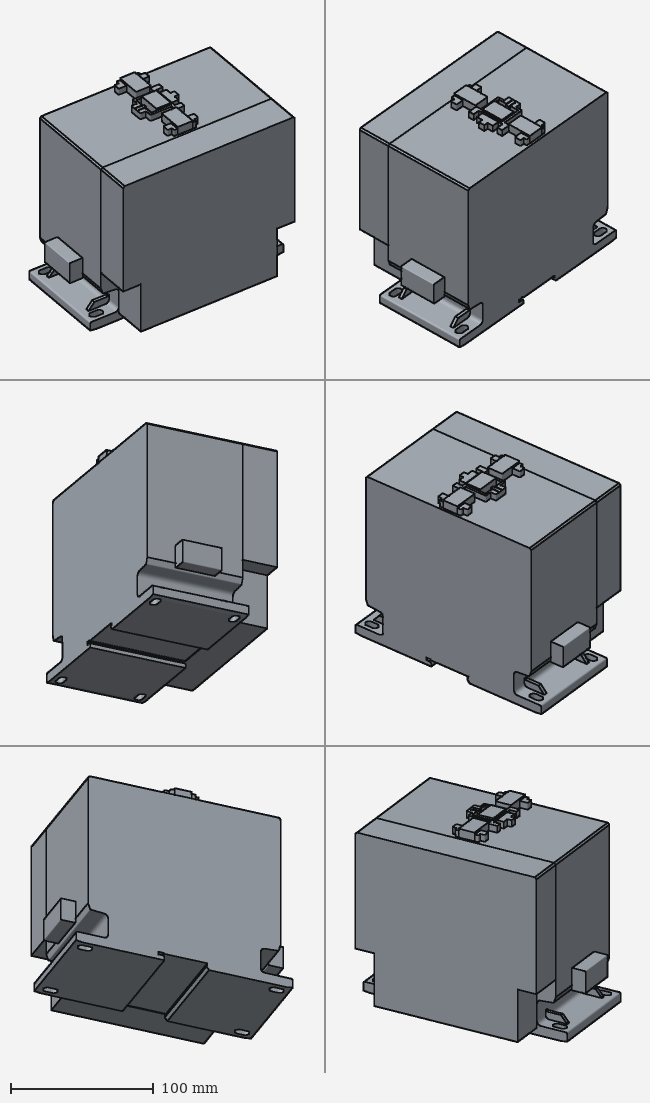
import cadquery as cq

total_width = 102.0
total_depth = 169.2
total_height = 144.0

housing_width = 75.0
body_half_depth = 73.3
body_top = 137.2
waist_half_depth = 58.0
top_chamfer = 1.4
undercut_outer_top = 33.0
undercut_corner_y = 71.5
undercut_corner_z = 28.3
undercut_inner_z = 27.2
undercut_round = 1.0
waist_top_round = 3.4

foot_half_depth = 82.4
foot_thickness = 7.8
foot_inner_round = 3.2
foot_edge_round = 1.4
sole_lift = 0.7
sole_flat_half_depth = 77.5

slot_diameter = 5.8
slot_length = 10.7
slot_outer_end = 78.2
slot_half_spacing = 31.0

rib_thickness = 2.7
rib_half_spacing = 24.2
rib_top = 13.5
rib_crest_y = 70.5
rib_toe_y = 75.6
rib_root_chamfer = 0.8

rail_roof = 5.2
rail_hook_y = 15.2
rail_hook_height = 3.9
rail_hook_round = 1.7
rail_pocket_y = 19.8
rail_pocket_roof = 6.0
rail_pocket_mouth_y = 15.9
rail_lip_y = -16.8
rail_lip_height = 2.5
rail_relief_y = -17.5
rail_mouth_y = -18.8

module_step_height = 46.7
module_bottom = 5.8

terminal_width = 30.6
terminal_bottom = 29.3
terminal_top = 46.7
terminal_edge_round = 0.7

center_x = housing_width / 2
low_top = 142.5
side_raised_half_depth = 6.5
top_corner_round = 0.5

side_block_inner = 15.5
side_block_outer = 35.5
side_tab_inner = 27.2
side_tab_outer = 32.7
side_tab_half_depth = 13.0
side_flange_outer = 35.4
side_flange_half_depth = 9.5

frame_half_width = 11.2
frame_front = -12.7
frame_back = 8.0
center_raised_half_depth = 6.3
recess_half_width = 9.1
recess_front = -10.8
ear_front = 5.4
ear_back = 13.2
latch_tab_half_width = 5.5
latch_tab_front = -17.5
latch_slot_half_width = 1.9
latch_slot_front = -16.0
tongue_half_width = 1.4
tongue_back = -9.5

cap_half_width = 7.5
cap_back = 13.9
cap_tab_half_width = 2.5
cap_tab_back = 17.3


def box_between(x_range, y_range, z_range):
    """Box given by its lower and upper limits along each axis."""
    (x0, x1), (y0, y1), (z0, z1) = x_range, y_range, z_range
    return cq.Workplane("XY").box(x1 - x0, y1 - y0, z1 - z0, centered=False).translate((x0, y0, z0))


def top_box(half_width, y_range, top):
    """Box standing on the housing top, symmetric about the middle of the housing."""
    return box_between((center_x - half_width, center_x + half_width), y_range, (body_top, top))


def extrude_along_x(points, x_start, width):
    """Prism along X with its outline given as (y, z) points."""
    return cq.Workplane("YZ").workplane(offset=x_start).polyline(points).close().extrude(width)


def mirrored_outline(half_points):
    """Outline from its +Y half, listed from bottom to top, closed by the mirrored half."""
    return half_points + [(-y, z) for y, z in reversed(half_points)]


def round_corners(body, corners, radius, x):
    """Fillet the edges that run along X through the given (y, z) corners and the plane at x."""
    for y, z in corners:
        edge = body.edges("|X").edges(cq.selectors.NearestToPointSelector((x, y, z)))
        body = edge.fillet(radius)
    return body


def both_sides(y, z):
    return [(y, z), (-y, z)]


def make_housing_body():
    outline = mirrored_outline([
        (sole_flat_half_depth, 0),
        (foot_half_depth, sole_lift),
        (foot_half_depth, foot_thickness),
        (waist_half_depth, foot_thickness),
        (waist_half_depth, undercut_inner_z),
        (undercut_corner_y, undercut_corner_z),
        (body_half_depth, undercut_outer_top),
        (body_half_depth, body_top - top_chamfer),
        (body_half_depth - top_chamfer, body_top),
    ])
    body = extrude_along_x(outline, 0, housing_width)
    rounds = [
        (foot_half_depth, foot_thickness, foot_edge_round),
        (waist_half_depth, foot_thickness, foot_inner_round),
        (waist_half_depth, undercut_inner_z, waist_top_round),
        (undercut_corner_y, undercut_corner_z, undercut_round),
    ]
    for y, z, radius in rounds:
        body = round_corners(body, both_sides(y, z), radius, center_x)
    return body


def make_rail_notch():
    notch = extrude_along_x([
        (rail_hook_y, 0),
        (rail_hook_y, rail_hook_height),
        (rail_pocket_y, rail_hook_height),
        (rail_pocket_y, rail_pocket_roof),
        (rail_pocket_mouth_y, rail_pocket_roof),
        (rail_pocket_mouth_y, rail_roof),
        (rail_relief_y, rail_roof),
        (rail_relief_y, rail_hook_height),
        (rail_lip_y, rail_hook_height),
        (rail_lip_y, rail_lip_height),
        (rail_mouth_y, 0),
    ], 0, housing_width)
    return round_corners(notch, [(rail_hook_y, rail_hook_height)], rail_hook_round, center_x)


def make_mounting_slots():
    slot_y = slot_outer_end - slot_length / 2
    return (
        cq.Workplane("XY")
        .center(center_x, 0)
        .rect(2 * slot_half_spacing, 2 * slot_y, forConstruction=True)
        .vertices()
        .slot2D(slot_length, slot_diameter, 90)
        .extrude(foot_thickness)
    )


def make_rib_bar(rib_center_x):
    """Rib running through the waist, so that it stands on both feet."""
    outline = mirrored_outline([
        (rib_toe_y, foot_thickness),
        (rib_crest_y, rib_top),
        (waist_half_depth + rib_root_chamfer, rib_top),
        (waist_half_depth, rib_top + rib_root_chamfer),
    ])
    return extrude_along_x(outline, rib_center_x - rib_thickness / 2, rib_thickness)


def make_housing():
    body = make_housing_body()
    for side in (-1, 1):
        body = body.union(make_rib_bar(center_x + side * rib_half_spacing))
    return body.cut(make_rail_notch()).cut(make_mounting_slots())


def make_side_module():
    """Module beside the housing, stepped back at its lower front and rear."""
    outline = mirrored_outline([
        (waist_half_depth, module_bottom),
        (waist_half_depth, module_step_height),
        (body_half_depth, module_step_height),
        (body_half_depth, body_top - top_chamfer),
        (body_half_depth - top_chamfer, body_top),
    ])
    return extrude_along_x(outline, housing_width, total_width - housing_width)


def make_terminal_block(side):
    """Terminal block on the rear (side = 1) or front (side = -1) face of the housing."""
    y_range = sorted((side * body_half_depth, side * total_depth / 2))
    x_range = (center_x - terminal_width / 2, center_x + terminal_width / 2)
    block = box_between(x_range, y_range, (terminal_bottom, terminal_top))
    return block.edges("|X").fillet(terminal_edge_round)


def make_side_block(side):
    """Raised block with low locking tabs, to the right (side = 1) or left (side = -1) of the frame."""
    def rounded_part(inner, outer, half_depth, top):
        x_range = sorted((center_x + side * inner, center_x + side * outer))
        part = box_between(x_range, (-half_depth, half_depth), (body_top, top))
        return part.edges("|Z").fillet(top_corner_round)

    raised = rounded_part(side_block_inner, side_block_outer, side_raised_half_depth, total_height)
    flange = rounded_part(side_tab_inner, side_flange_outer, side_flange_half_depth, low_top)
    tabs = rounded_part(side_tab_inner, side_tab_outer, side_tab_half_depth, low_top)
    return raised.union(flange).union(tabs)


def make_center_frame():
    """Frame with a raised block, side ears, and a front tab with a latch tongue."""
    plate = top_box(frame_half_width, (frame_front, frame_back), low_top)
    plate = plate.edges("|Z and <Y").fillet(top_corner_round)
    ears = top_box(side_block_inner, (ear_front, ear_back), low_top)
    ear_gap = top_box(frame_half_width, (ear_front, ear_back), low_top)
    latch_tab = top_box(latch_tab_half_width, (latch_tab_front, frame_front), low_top)
    latch_tab = latch_tab.edges("|Z and <Y").fillet(top_corner_round)
    recess = top_box(recess_half_width, (recess_front, -center_raised_half_depth), low_top)
    latch_slot = top_box(latch_slot_half_width, (latch_slot_front, recess_front), low_top)
    tongue = top_box(tongue_half_width, (latch_slot_front, tongue_back), low_top)
    raised = top_box(recess_half_width, (-center_raised_half_depth, center_raised_half_depth), total_height)
    frame = ears.cut(ear_gap).union(plate).union(latch_tab)
    return frame.cut(recess).cut(latch_slot).union(tongue).union(raised)


def make_rear_cap():
    """Low T-shaped cap behind the frame."""
    base = top_box(cap_half_width, (frame_back, cap_back), low_top)
    return base.union(top_box(cap_tab_half_width, (cap_back, cap_tab_back), low_top))


housing = make_housing()
side_module = make_side_module()
terminal_blocks = [make_terminal_block(side) for side in (-1, 1)]
side_blocks = [make_side_block(side) for side in (-1, 1)]
center_frame = make_center_frame()
rear_cap = make_rear_cap()

result = cq.Compound.makeCompound([
    housing.val(),
    side_module.val(),
    *[block.val() for block in terminal_blocks],
    *[block.val() for block in side_blocks],
    center_frame.val(),
    rear_cap.val(),
])